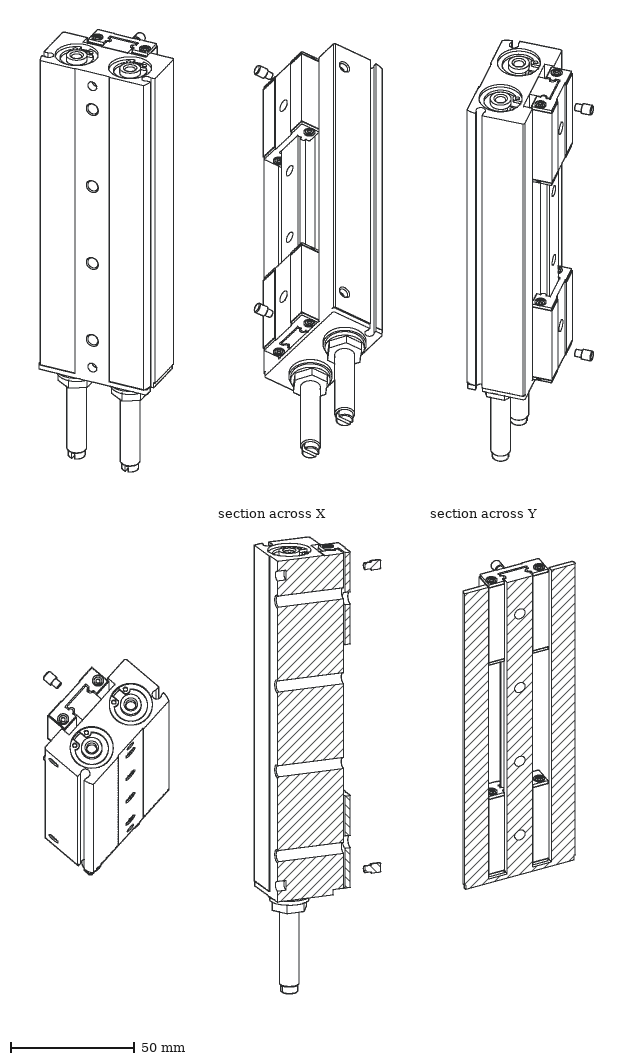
import cadquery as cq
import math


OVERALL_HEIGHT = 187.9

HOUSING_WIDTH = 50.0
HOUSING_DEPTH = 25.0
HOUSING_HEIGHT = 145.0
FLANGE_HEIGHT = 2.3
FRONT_STEP = 0.4
SIDE_STEP = 0.5
STRIP_WIDTH = 15.5
FRONT_WIDTH = 46.6
JAW_BULGE = 0.2
BACK_CHAMFER = 0.5
FLANGE_FILLET = 1.0
MID_Z = (FLANGE_HEIGHT + HOUSING_HEIGHT) / 2

SLOT_BOTTOM = 4.0
SLOT_TOP = 7.0
SLOT_Y = (SLOT_BOTTOM + SLOT_TOP) / 2
SLOT_BULB_DIAMETER = 3.8
SLOT_BULB_X = 22.0

POCKET_WIDTH = 28.2
POCKET_FLOOR_Y = 21.0

RAIL_WIDTH = 11.6
RAIL_TOP_Y = 29.5
RAIL_END_DROP = 0.2
RACE_Y = 27.0
RACE_RADIUS = 1.3

MOUNT_DIAMETER = 4.5
MOUNT_MOUTH_DIAMETER = 5.5
MOUNT_PITCH = 36.0
MOUNT_COUNT = 4
PIN_HOLE_DIAMETER = 4.0
PIN_HOLE_DEPTH = 3.8
PIN_HOLE_HEIGHTS = (6.8, 138.7)
PORT_DIAMETER = 4.0
PORT_MOUTH_DIAMETER = 5.0
PORT_DEPTH = 2.8
PORT_Y = 20.0
PORT_SPACING = 122.1
DRILL_TIP_SLOPE = 30.0

BORE_X = 12.0
BORE_Y = 10.7
BORE_DIAMETER = 16.0
RECESS_DIAMETER = 17.5
RECESS_DEPTH = 2.5
CLIP_THICKNESS = 1.1
CLIP_INNER_DIAMETER = 13.5
CLIP_GAP = 4.0
CLIP_EAR_X = 3.5
CLIP_EAR_Y = 6.0
CLIP_EAR_RADIUS = 1.9
CLIP_EAR_HOLE_DIAMETER = 1.7
BOSS_DIAMETER = 8.5
BOSS_DROP = 0.2
BOSS_HOLE_DIAMETER = 4.1
BOSS_HOLE_MOUTH_DIAMETER = 5.5
BOSS_HOLE_DEPTH = 3.8
COLLARS = ((17.5, 1.7), (16.0, 3.5))
HEX_ACROSS_FLATS = 13.2
HEX_BOTTOM_Z = -7.3
ROD_DIAMETER = 8.0
ROD_SHOULDER_Z = -39.8
TIP_DIAMETER = 7.0
TIP_Z = HOUSING_HEIGHT - OVERALL_HEIGHT
TIP_CHAMFER = 0.4
ROD_CHAMFER = 0.5
TIP_SLOT_WIDTH = 1.5
TIP_SLOT_DEPTH = 2.8

SLIDER_LENGTH = 39.3
SLIDER_WIDTH = 27.0
SLIDER_BOTTOM_Y = 23.9
SLIDER_TOP_Y = 33.0
SLIDER_GROOVE_WIDTH = 11.3
SLIDER_GROOVE_DEPTH = 0.5
CHANNEL_WIDTH = 12.8
CHANNEL_TOP_Y = 30.0
LUG_RADIUS = 1.1
END_PLATE_THICKNESS = 1.3
END_PLATE_INSET = 0.28
SLIDER_HOLE_DIAMETER = 5.0
SCREW_X = 10.7
SCREW_Y = 27.2
SCREW_MOUTH_DIAMETER = 4.5
SCREW_MOUTH_DEPTH = 0.4
SCREW_DIAMETER = 3.2
SCREW_RECESS_DEPTH = 0.8
SOCKET_DIAMETER = 1.7
SOCKET_DEPTH = 1.5

PLUG_BACK_Y = 45.8
PLUG_HEAD_DIAMETER = 4.1
PLUG_HEAD_LENGTH = 4.1
PLUG_NECK_DIAMETER = 3.0
PLUG_NECK_LENGTH = 3.0
PLUG_HEAD_CHAMFER = 0.4
PLUG_NECK_CHAMFER = 0.2
PLUG_SPACING = 128.9


def box(x0, x1, y0, y1, z0, z1):
    """A block between the given limits."""
    return cq.Workplane("XY").box(x1 - x0, y1 - y0, z1 - z0, centered=False).translate((x0, y0, z0))


def upright_cylinder(diameter, z0, z1):
    """An upright cylinder on the Z axis between two heights."""
    return cq.Workplane("XY").workplane(offset=z0).circle(diameter / 2).extrude(z1 - z0)


def drill(diameter, mouth_diameter, depth):
    """A drill shape entering along +Z from the origin: 45-degree mouth, straight wall and cone tip."""
    radius = diameter / 2
    mouth_radius = mouth_diameter / 2
    points = [
        (0, 0),
        (mouth_radius, 0),
        (radius, mouth_radius - radius),
        (radius, depth),
        (0, depth + radius * math.tan(math.radians(DRILL_TIP_SLOPE))),
    ]
    return cq.Workplane("XZ").polyline(points).close().revolve(360, (0, 0, 0), (0, 1, 0))


def from_front(tool, z):
    """Turn a tool that points along +Z to point along +Y, on the centre line at the given height."""
    return tool.rotate((0, 0, 0), (1, 0, 0), -90).translate((0, FRONT_STEP, z))


def housing_blank():
    """The outer block on its set-back flange, with curved front jaws and a shallow front strip."""
    half = HOUSING_WIDTH / 2
    jaw_half = half - SIDE_STEP
    front_half = FRONT_WIDTH / 2
    jaw_middle_x = (jaw_half + front_half) / 2 + JAW_BULGE
    main = (
        cq.Workplane("XY")
        .workplane(offset=FLANGE_HEIGHT)
        .moveTo(-front_half, 0)
        .lineTo(front_half, 0)
        .threePointArc((jaw_middle_x, SLOT_BOTTOM / 2), (jaw_half, SLOT_BOTTOM))
        .lineTo(jaw_half, SLOT_TOP)
        .lineTo(half, SLOT_TOP)
        .lineTo(half, HOUSING_DEPTH - BACK_CHAMFER)
        .lineTo(half - BACK_CHAMFER, HOUSING_DEPTH)
        .lineTo(BACK_CHAMFER - half, HOUSING_DEPTH)
        .lineTo(-half, HOUSING_DEPTH - BACK_CHAMFER)
        .lineTo(-half, SLOT_TOP)
        .lineTo(-jaw_half, SLOT_TOP)
        .lineTo(-jaw_half, SLOT_BOTTOM)
        .threePointArc((-jaw_middle_x, SLOT_BOTTOM / 2), (-front_half, 0))
        .close()
        .extrude(HOUSING_HEIGHT - FLANGE_HEIGHT)
    )
    flange = box(-jaw_half, jaw_half, FRONT_STEP, HOUSING_DEPTH, 0, FLANGE_HEIGHT)
    flange = flange.edges("|Z").fillet(FLANGE_FILLET)
    strip = box(-STRIP_WIDTH / 2, STRIP_WIDTH / 2, 0, FRONT_STEP, FLANGE_HEIGHT, HOUSING_HEIGHT)
    return main.union(flange).cut(strip)


def sensor_slot(side):
    """A side slot that opens into a round bottom and runs the full height."""
    bulb = upright_cylinder(SLOT_BULB_DIAMETER, 0, HOUSING_HEIGHT).translate((SLOT_BULB_X, SLOT_Y, 0))
    mouth = box(SLOT_BULB_X, HOUSING_WIDTH / 2, SLOT_BOTTOM, SLOT_TOP, 0, HOUSING_HEIGHT)
    slot = bulb.union(mouth)
    return slot if side > 0 else slot.mirror("YZ")


def rail():
    """The guide rail, with a round ball race along each side."""
    top_z = HOUSING_HEIGHT - RAIL_END_DROP
    half = RAIL_WIDTH / 2
    bar = box(-half, half, POCKET_FLOOR_Y, RAIL_TOP_Y, FLANGE_HEIGHT, top_z)
    for side in (-1, 1):
        race = upright_cylinder(2 * RACE_RADIUS, FLANGE_HEIGHT, top_z)
        bar = bar.cut(race.translate((side * half, RACE_Y, 0)))
    return bar


def make_housing():
    """The housing and its rail, with all slots, bores and holes."""
    body = housing_blank()
    pocket_half = POCKET_WIDTH / 2
    body = body.cut(
        box(-pocket_half, pocket_half, POCKET_FLOOR_Y, HOUSING_DEPTH, FLANGE_HEIGHT, HOUSING_HEIGHT)
    )
    body = body.union(rail())
    for side in (-1, 1):
        body = body.cut(sensor_slot(side))
        bore = upright_cylinder(BORE_DIAMETER, 0, HOUSING_HEIGHT)
        bore = bore.union(upright_cylinder(RECESS_DIAMETER, HOUSING_HEIGHT - RECESS_DEPTH, HOUSING_HEIGHT))
        body = body.cut(bore.translate((side * BORE_X, BORE_Y, 0)))

    for index in range(MOUNT_COUNT):
        z = MID_Z + (index - (MOUNT_COUNT - 1) / 2) * MOUNT_PITCH
        body = body.cut(from_front(drill(MOUNT_DIAMETER, MOUNT_MOUTH_DIAMETER, RAIL_TOP_Y), z))
    for z in PIN_HOLE_HEIGHTS:
        body = body.cut(from_front(upright_cylinder(PIN_HOLE_DIAMETER, 0, PIN_HOLE_DEPTH), z))

    for end in (-1, 1):
        port = drill(PORT_DIAMETER, PORT_MOUTH_DIAMETER, PORT_DEPTH).rotate((0, 0, 0), (0, 1, 0), 90)
        z = MID_Z + end * PORT_SPACING / 2
        body = body.cut(port.translate((-HOUSING_WIDTH / 2, PORT_Y, z)))
    return body


def retaining_clip():
    """The open ring at the top of a rod unit, with an eared end on each side of its gap."""
    bottom_z = HOUSING_HEIGHT - RECESS_DEPTH
    top_z = bottom_z + CLIP_THICKNESS
    outer = upright_cylinder(RECESS_DIAMETER, bottom_z, top_z)
    clip = outer.cut(upright_cylinder(CLIP_INNER_DIAMETER, bottom_z, top_z))
    for side in (-1, 1):
        ear = upright_cylinder(2 * CLIP_EAR_RADIUS, bottom_z, top_z)
        clip = clip.union(ear.translate((side * CLIP_EAR_X, CLIP_EAR_Y, 0)).intersect(outer))
    for side in (-1, 1):
        hole = upright_cylinder(CLIP_EAR_HOLE_DIAMETER, bottom_z, top_z)
        clip = clip.cut(hole.translate((side * CLIP_EAR_X, CLIP_EAR_Y, 0)))
    return clip.cut(box(-CLIP_GAP / 2, CLIP_GAP / 2, 0, RECESS_DIAMETER, bottom_z, top_z))


def make_rod_unit(side):
    """The insert filling one bore: clip and boss on top, collars, hexagon and slotted rod below."""
    boss_top_z = HOUSING_HEIGHT - BOSS_DROP
    unit = upright_cylinder(BORE_DIAMETER, 0, HOUSING_HEIGHT - RECESS_DEPTH)
    unit = unit.union(upright_cylinder(BOSS_DIAMETER, 0, boss_top_z)).union(retaining_clip())
    boss_hole = drill(BOSS_HOLE_DIAMETER, BOSS_HOLE_MOUTH_DIAMETER, BOSS_HOLE_DEPTH)
    unit = unit.cut(boss_hole.rotate((0, 0, 0), (1, 0, 0), 180).translate((0, 0, boss_top_z)))

    collar_top = 0
    for diameter, collar_depth in COLLARS:
        unit = unit.union(upright_cylinder(diameter, -collar_depth, collar_top))
        collar_top = -collar_depth
    across_corners = HEX_ACROSS_FLATS / math.cos(math.radians(30))
    hexagon = cq.Workplane("XY").polygon(6, across_corners).extrude(HEX_BOTTOM_Z)
    unit = unit.union(hexagon.rotate((0, 0, 0), (0, 0, 1), 30))

    rod = upright_cylinder(ROD_DIAMETER, ROD_SHOULDER_Z, 0).faces("<Z").chamfer(ROD_CHAMFER)
    tip = upright_cylinder(TIP_DIAMETER, TIP_Z, ROD_SHOULDER_Z).faces("<Z").chamfer(TIP_CHAMFER)
    slot_half = TIP_SLOT_WIDTH / 2
    tip = tip.cut(box(-slot_half, slot_half, -TIP_DIAMETER, TIP_DIAMETER, TIP_Z, TIP_Z + TIP_SLOT_DEPTH))
    return unit.union(rod).union(tip).translate((side * BORE_X, BORE_Y, 0))


def screw_recess():
    """A stepped round recess with a small socket in its floor, entering along -Z from the origin."""
    mouth = upright_cylinder(SCREW_MOUTH_DIAMETER, -SCREW_MOUTH_DEPTH, 0)
    recess = upright_cylinder(SCREW_DIAMETER, -SCREW_RECESS_DEPTH, 0)
    return mouth.union(recess).union(upright_cylinder(SOCKET_DIAMETER, -SOCKET_DEPTH, 0))


def make_slider(end):
    """A carriage astride the rail, near the top (end = 1) or the bottom (end = -1) of the housing."""
    half = SLIDER_WIDTH / 2
    half_length = SLIDER_LENGTH / 2
    middle = half_length - END_PLATE_THICKNESS
    body = box(-half, half, SLIDER_BOTTOM_Y, SLIDER_TOP_Y, -middle, middle)
    plate_half = half - END_PLATE_INSET
    plate_bottom = SLIDER_BOTTOM_Y + END_PLATE_INSET
    plate_top = SLIDER_TOP_Y - END_PLATE_INSET
    body = body.union(box(-plate_half, plate_half, plate_bottom, plate_top, -half_length, half_length))

    groove_half = SLIDER_GROOVE_WIDTH / 2
    groove_y = SLIDER_TOP_Y - SLIDER_GROOVE_DEPTH
    body = body.cut(box(-groove_half, groove_half, groove_y, SLIDER_TOP_Y, -half_length, half_length))

    channel_half = CHANNEL_WIDTH / 2
    body = body.cut(
        box(-channel_half, channel_half, SLIDER_BOTTOM_Y, CHANNEL_TOP_Y, -half_length, half_length)
    )
    for side in (-1, 1):
        lug = upright_cylinder(2 * LUG_RADIUS, -half_length, half_length)
        body = body.union(lug.translate((side * channel_half, RACE_Y, 0)))

    centre_hole = cq.Workplane("XZ").circle(SLIDER_HOLE_DIAMETER / 2).extrude(-SLIDER_TOP_Y)
    body = body.cut(centre_hole)
    for side in (-1, 1):
        recess = screw_recess().translate((side * SCREW_X, SCREW_Y, half_length))
        body = body.cut(recess).cut(recess.mirror("XY"))
    return body.translate((0, 0, MID_Z + end * (HOUSING_HEIGHT - MID_Z - half_length)))


def make_plug(end):
    """A headed plug lying along Y behind a slider."""
    head = cq.Workplane("XZ").circle(PLUG_HEAD_DIAMETER / 2).extrude(PLUG_HEAD_LENGTH)
    head = head.faces(">Y").chamfer(PLUG_HEAD_CHAMFER)
    neck = cq.Workplane("XZ").circle(PLUG_NECK_DIAMETER / 2).extrude(PLUG_HEAD_LENGTH + PLUG_NECK_LENGTH)
    neck = neck.faces("<Y").chamfer(PLUG_NECK_CHAMFER)
    return head.union(neck).translate((0, PLUG_BACK_Y, MID_Z + end * PLUG_SPACING / 2))


housing = make_housing()
rod_units = [make_rod_unit(side) for side in (-1, 1)]
sliders = [make_slider(end) for end in (-1, 1)]
plugs = [make_plug(end) for end in (-1, 1)]

result = cq.Compound.makeCompound([body.val() for body in [housing, *rod_units, *sliders, *plugs]])